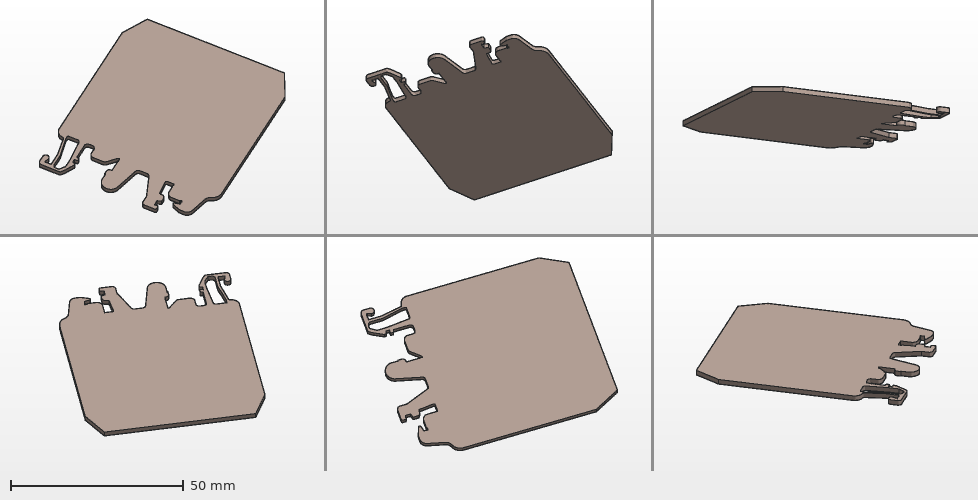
import cadquery as cq
import math


width = 53.0
height = 62.6
thickness = 1.5
top_chamfer_x = 4.2
top_chamfer_y = 7.8
right_shoulder_radius = 3.1
right_shoulder_y = 12.1
left_shoulder_radius = 2.45
left_shoulder_y = 12.4
small_radius = 0.4
gap_radius = 1.0
ledge_radius = 1.4

latch_roof = 13.1
foot_roof = 10.9
ledge_level = 9.15
rail_level = 6.1

latch_root_x = 2.7
latch_root_y = 11.9
arm_left = 3.95
arm_bend_y = 5.5
arm_thickness = 0.9
latch_base = 1.45
hook_left = 0.45
hook_width = 1.95
hook_neck = 1.5
hook_top = 3.95
hook_radius = 0.95
hook_lip_y = 2.8
hook_right = hook_left + hook_width
latch_gap_left = 9.4
latch_gap_right = 12.45
tooth_tip = 10.2
lower_tooth_tip = 10.1
tooth_radius = 0.2
tooth_root = 9.15
upper_tooth_top = 7.0
tooth_slope = 0.25
upper_tooth_bottom = 6.1
lower_tooth_top = 4.8
lower_tooth_bottom = 4.2
latch_base_right = 7.6
latch_bevel_x = 8.4
latch_bevel_y = 1.05

window_left = 3.45
window_straight_y = 11.8
window_top_right = 7.3
window_bottom_right = 8.1
window_bottom = 0.8
window_radius = 0.75
window_bevel_x = 6.8
window_bevel_y = 2.6

lobe_notch_x = 20.7
lobe_notch_top = 12.3
lobe_notch_flat = 0.4
notch_slope_start = 17.45
lobe_shoulder_y = 7.4
lobe_bump_x = 19.4
lobe_bump_y = 5.25
lobe_left = 19.65
lobe_right = 24.55
lobe_bottom = 0.55
lobe_radius = 2.7

centre_gap_left = 27.15
centre_gap_right = 31.0
foot_left = 34.05
foot_knee_y = 3.1
foot_right = 38.8
foot_notch_x = 37.55
foot_toe_top = 1.5
foot_nose_bottom = 3.5
foot_nose_top = 5.95
foot_nose_slope = 0.3
foot_neck_x = 36.95
foot_neck_top_x = 36.45

hook_gap_x = 39.1
rail_radius = 1.6
pocket_x = 44.1
pocket_entry_x = 43.3
pocket_rise = 0.25
pocket_bottom = 5.1
beak_x = 41.25
beak_y = 4.4
beak_bottom_left = 44.9
beak_bottom = 3.0
flank_bottom_x = 47.95
flank_top_x = 49.95
flank_top_y = 10.8
flank_radius = 2.1


def cover_corners():
    """Left side, both chamfered top corners and right side, clockwise."""
    side_top = height - top_chamfer_y
    return [
        (0, side_top, 0),
        (top_chamfer_x, height, 0),
        (width - top_chamfer_x, height, 0),
        (width, side_top, 0),
        (width, right_shoulder_y, right_shoulder_radius),
    ]


def hook_corners():
    """Right hook, from its outer flank to the gap beside the clamp foot."""
    return [
        (flank_top_x, flank_top_y, flank_radius),
        (flank_bottom_x, beak_bottom, flank_radius),
        (beak_bottom_left, beak_bottom, flank_radius),
        (beak_x, beak_y, small_radius),
        (pocket_x, pocket_bottom, 0),
        (pocket_x, rail_level + pocket_rise, 0),
        (pocket_entry_x + pocket_rise, rail_level + pocket_rise, 0),
        (pocket_entry_x, rail_level, 0),
        (hook_gap_x, rail_level, rail_radius),
        (hook_gap_x, foot_roof, 0),
    ]


def clamp_foot_corners():
    """Clamp foot with its nose and toe, up to the centre gap."""
    return [
        (foot_neck_top_x, foot_roof, small_radius),
        (foot_neck_x, foot_nose_top, 0),
        (foot_right, foot_nose_top - foot_nose_slope, gap_radius),
        (foot_right, foot_nose_bottom, 0),
        (foot_notch_x, foot_knee_y, 0),
        (foot_notch_x, foot_toe_top, 0),
        (foot_right, foot_toe_top, small_radius),
        (foot_right, 0, small_radius),
        (foot_left, 0, gap_radius),
        (foot_left, foot_knee_y, 0),
        (centre_gap_right, foot_roof, gap_radius),
    ]


def lobe_corners():
    """Round-ended lobe and the slanted notch on its left."""
    return [
        (centre_gap_left, foot_roof, gap_radius),
        (lobe_right, lobe_bottom, lobe_radius),
        (lobe_left, lobe_bottom, lobe_radius),
        (lobe_left, lobe_bump_y, 0),
        (lobe_bump_x, lobe_bump_y, 0),
        (lobe_bump_x, lobe_shoulder_y, gap_radius),
        (lobe_notch_x, lobe_shoulder_y, 0),
        (lobe_notch_x, lobe_notch_top, 0),
        (lobe_notch_x - lobe_notch_flat, lobe_notch_top, small_radius),
        (notch_slope_start, ledge_level, ledge_radius),
    ]


def latch_corners():
    """Spring latch: toothed inner arm, base bar, end hook and thin outer arm."""
    return [
        (latch_gap_right, ledge_level, ledge_radius),
        (latch_gap_right, latch_roof, gap_radius),
        (latch_gap_left, latch_roof, gap_radius),
        (latch_gap_left, upper_tooth_top + tooth_slope, 0),
        (tooth_tip, upper_tooth_top, tooth_radius),
        (tooth_tip, upper_tooth_bottom, tooth_radius),
        (tooth_root, upper_tooth_bottom, 0),
        (tooth_root, lower_tooth_top + tooth_slope, 0),
        (lower_tooth_tip, lower_tooth_top, tooth_radius),
        (lower_tooth_tip, lower_tooth_bottom, 0),
        (latch_bevel_x, latch_bevel_y, 0),
        (latch_base_right, 0, small_radius),
        (hook_left, 0, gap_radius),
        (hook_left, hook_top, hook_radius),
        (hook_right, hook_top, hook_radius),
        (hook_right, hook_lip_y, 0),
        (hook_left + hook_neck, latch_base + small_radius, 0),
        (hook_left + hook_neck, latch_base, 0),
        (arm_left, latch_base, 0),
        (arm_left, arm_bend_y, 0),
        (latch_root_x, latch_root_y, small_radius),
        (0, left_shoulder_y, left_shoulder_radius),
    ]


def window_corners():
    """Opening between the two latch arms."""
    inner_left = arm_left + arm_thickness
    return [
        (window_left, window_straight_y, 0),
        (window_left, latch_roof, small_radius),
        (window_top_right, latch_roof, window_radius),
        (window_bottom_right, arm_bend_y, 0),
        (window_bottom_right, window_bevel_y, 0),
        (window_bevel_x, window_bottom, 0),
        (inner_left, window_bottom, gap_radius),
        (inner_left, arm_bend_y, 0),
    ]


def unit_vector(start, end):
    length = math.dist(start, end)
    return ((end[0] - start[0]) / length, (end[1] - start[1]) / length)


def corner_arc(before, corner, after, radius):
    """Start, middle and end of the arc that rounds a corner tangentially."""
    to_before = unit_vector(corner, before)
    to_after = unit_vector(corner, after)
    half_angle = math.acos(to_before[0] * to_after[0] + to_before[1] * to_after[1]) / 2
    setback = radius / math.tan(half_angle)
    to_middle = radius / math.sin(half_angle) - radius
    bisector = unit_vector((0, 0), (to_before[0] + to_after[0], to_before[1] + to_after[1]))

    def along(direction, distance):
        return (corner[0] + direction[0] * distance, corner[1] + direction[1] * distance)

    return along(to_before, setback), along(bisector, to_middle), along(to_after, setback)


def plate_from(corners):
    """Extrude a closed outline, rounding corners that have a radius; the first must be sharp."""
    first_corner = corners[0][:2]
    sketch = cq.Workplane("XY").moveTo(*first_corner)
    for index in range(1, len(corners)):
        x, y, radius = corners[index]
        if radius == 0:
            sketch = sketch.lineTo(x, y)
            continue
        before = corners[index - 1][:2]
        after = corners[(index + 1) % len(corners)][:2]
        start, middle, end = corner_arc(before, (x, y), after, radius)
        sketch = sketch.lineTo(*start).threePointArc(middle, end)
    return sketch.close().extrude(thickness)


outline = (
    cover_corners()
    + hook_corners()
    + clamp_foot_corners()
    + lobe_corners()
    + latch_corners()
)
result = plate_from(outline).cut(plate_from(window_corners()))